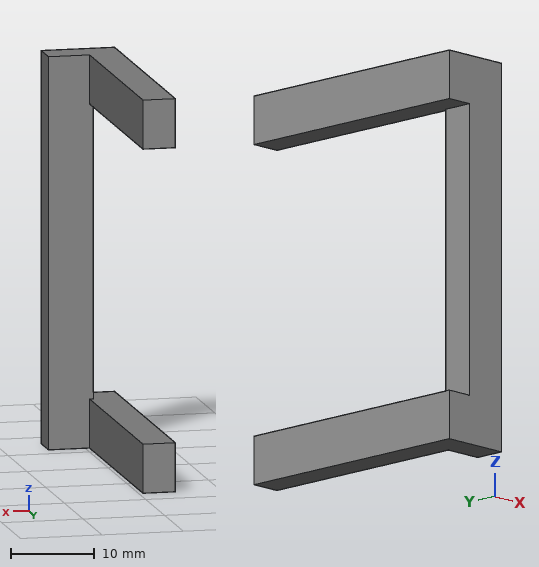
import cadquery as cq

height = 48.0
width = 9.0
arm_length = 32.5
arm_width = 4.0
arm_height = 6.0
post_depth = 4.0
post_setback = 3.5


def corner_box(x_size, y_size, z_size, origin):
    """Box whose lowest X, Y, Z corner sits at origin."""
    return cq.Workplane("XY").box(x_size, y_size, z_size, centered=False).translate(origin)


result = corner_box(width - post_setback, post_depth, height, (post_setback, 0, 0))

for base_z in (0, height - arm_height):
    foot = corner_box(width, post_depth, arm_height, (0, 0, base_z))
    arm = corner_box(arm_width, arm_length, arm_height, (0, 0, base_z))
    result = result.union(foot).union(arm)

result = result.clean()